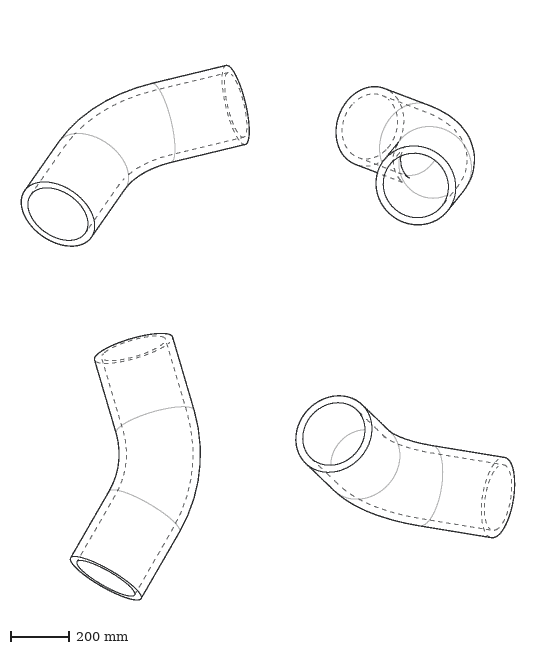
import cadquery as cq
import math

overall_length = 859.0
outer_diameter = 280.0
wall = 26.0
bend_angle = 45.0
bend_radius = 1.5 * outer_diameter

outer_radius = outer_diameter / 2
inner_radius = outer_radius - wall
sin_bend = math.sin(math.radians(bend_angle))
cos_bend = math.cos(math.radians(bend_angle))

leg_length = (overall_length - (bend_radius + outer_radius) * sin_bend) / (1 + cos_bend)


def straight_leg(start, direction):
    """Hollow straight pipe running from start along direction."""
    end_plane = cq.Plane(origin=start, xDir=(0, 0, 1), normal=direction)
    ring = cq.Workplane(end_plane).circle(outer_radius).circle(inner_radius)
    return ring.extrude(leg_length)


def bend():
    """Hollow bend starting in the +Y direction and turning toward +X."""
    ring = cq.Workplane("XZ", origin=(0, leg_length, 0)).circle(outer_radius).circle(inner_radius)
    return ring.revolve(bend_angle, (bend_radius, 0, 0), (bend_radius, -1, 0))


bend_end = (bend_radius * (1 - cos_bend), leg_length + bend_radius * sin_bend, 0)

first_leg = straight_leg((0, 0, 0), (0, 1, 0))
second_leg = straight_leg(bend_end, (sin_bend, cos_bend, 0))

result = first_leg.union(bend()).union(second_leg)